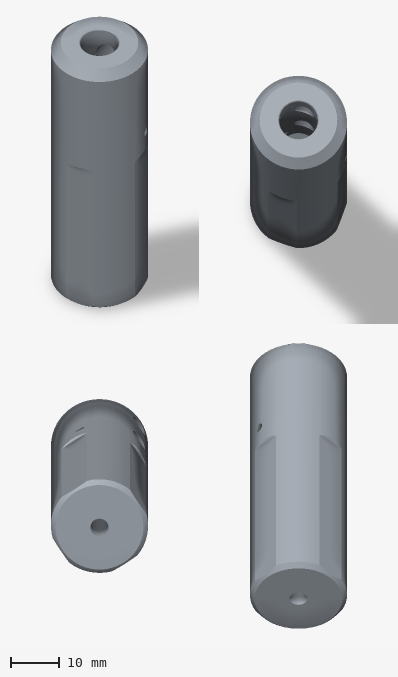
import cadquery as cq

length = 65.0
diameter = 20.0
radius = diameter / 2
top_chamfer = 2.0
bottom_chamfer = 1.0

bore_diameter = 8.0
bore_depth = 25.0
bore_chamfer = 0.2
through_diameter = 3.7

flat_cut = 0.5
flat_distance = radius - flat_cut
flat_top = 38.0
flat_count = 4

radial_hole_diameter = 4.5
radial_hole_depths = (6.0, 17.0)

cross_hole_diameter = 2.0
cross_hole_y = 1.5
cross_hole_depth = 22.0


def make_body():
    body = cq.Workplane("XY").circle(radius).extrude(length)
    body = body.faces(">Z").chamfer(top_chamfer)
    return body.faces("<Z").chamfer(bottom_chamfer)


def make_bore():
    """Through hole, counterbore and mouth chamfer as one revolved profile."""
    bore_radius = bore_diameter / 2
    profile = (
        cq.Workplane("XZ")
        .lineTo(through_diameter / 2, 0)
        .lineTo(through_diameter / 2, length - bore_depth)
        .lineTo(bore_radius, length - bore_depth)
        .lineTo(bore_radius, length - bore_chamfer)
        .lineTo(bore_radius + bore_chamfer, length)
        .lineTo(0, length)
        .close()
    )
    return profile.revolve(360, (0, 0, 0), (0, 1, 0))


def make_flat_cutter(angle):
    """Wedge-topped block that leaves one flat at the given angle about Z."""
    outer_distance = diameter
    runout_top = flat_top + outer_distance - flat_distance
    section = (
        cq.Workplane("XZ")
        .moveTo(flat_distance, 0)
        .lineTo(outer_distance, 0)
        .lineTo(outer_distance, runout_top)
        .lineTo(flat_distance, flat_top)
        .close()
    )
    cutter = section.extrude(radius, both=True)
    return cutter.rotate((0, 0, 0), (0, 0, 1), angle)


def make_radial_hole(depth):
    """Hole from the axis out through the +Y side, at a depth below the top."""
    return (
        cq.Workplane("XZ")
        .center(0, length - depth)
        .circle(radial_hole_diameter / 2)
        .extrude(-diameter)
    )


def make_cross_hole():
    return (
        cq.Workplane("YZ")
        .center(cross_hole_y, length - cross_hole_depth)
        .circle(cross_hole_diameter / 2)
        .extrude(diameter, both=True)
    )


result = make_body().cut(make_bore())
for index in range(flat_count):
    result = result.cut(make_flat_cutter(index * 360 / flat_count))
for hole_depth in radial_hole_depths:
    result = result.cut(make_radial_hole(hole_depth))
result = result.cut(make_cross_hole())